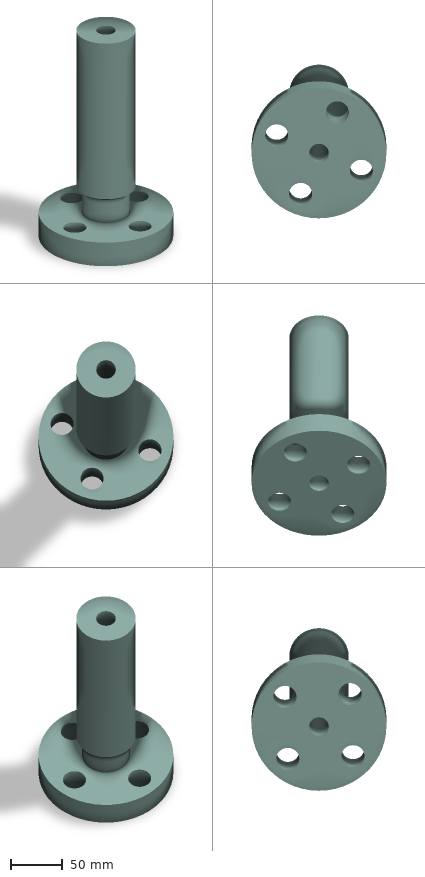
import cadquery as cq

total_height = 222.2

flange_diameter = 130.0
flange_thickness = 25.5
bolt_circle_diameter = 89.0
bolt_hole_diameter = 22.2
bolt_hole_count = 4

neck_diameter = 46.0
barrel_diameter = 57.3
bore_diameter = 19.0
shoulder_bottom = 50.5
shoulder_height = 3.5
shoulder_top = shoulder_bottom + shoulder_height


def make_body():
    """Revolve the flange, neck, shoulder and barrel about Z, with the bore left open."""
    bore_radius = bore_diameter / 2
    flange_radius = flange_diameter / 2
    neck_radius = neck_diameter / 2
    barrel_radius = barrel_diameter / 2
    profile = [
        (bore_radius, 0),
        (flange_radius, 0),
        (flange_radius, flange_thickness),
        (neck_radius, flange_thickness),
        (neck_radius, shoulder_bottom),
        (barrel_radius, shoulder_top),
        (barrel_radius, total_height),
        (bore_radius, total_height),
    ]
    return cq.Workplane("XZ").polyline(profile).close().revolve(360, (0, 0), (0, 1))


def make_bolt_holes():
    """Cylinders through the flange, evenly spaced and starting on the X axis."""
    return (
        cq.Workplane("XY")
        .polarArray(bolt_circle_diameter / 2, 0, 360, bolt_hole_count)
        .circle(bolt_hole_diameter / 2)
        .extrude(flange_thickness)
    )


result = make_body().cut(make_bolt_holes())